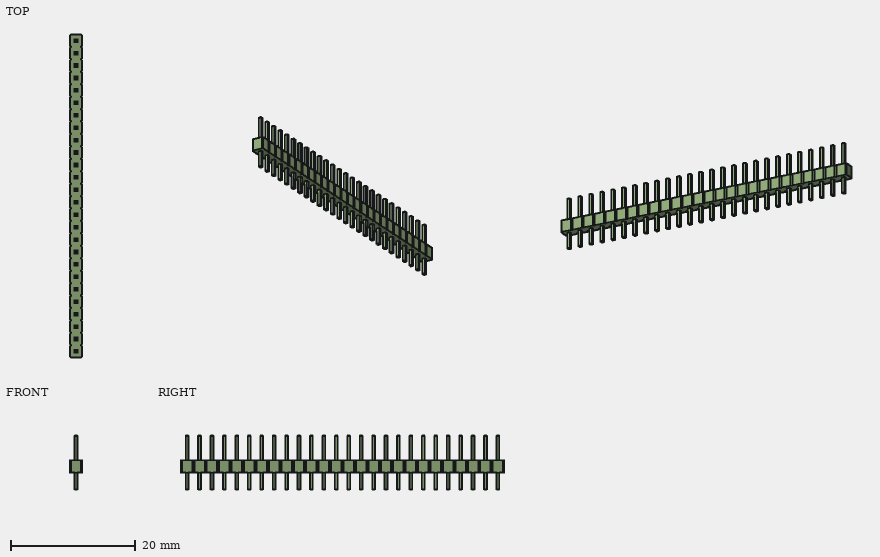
import cadquery as cq

length = 52.0
pin_count = 26
pitch = length / pin_count

cell_size = pitch
cell_chamfer = 0.2

pin_width = 0.5
tip_chamfer = 0.125
pin_length = 8.8
pin_above_housing = 4.0
pin_below_housing = pin_length - pin_above_housing - cell_size


def housing_cell():
    """One cell centred on the origin in plan, standing on Z = 0."""
    cell = cq.Workplane("XY").box(cell_size, pitch, cell_size, centered=(True, True, False))
    return cell.edges("|Z").chamfer(cell_chamfer)


def pin():
    """One pin on the Z axis, passing through the housing."""
    bar = cq.Workplane("XY").box(pin_width, pin_width, pin_length, centered=(True, True, False))
    bar = bar.faces("<Z or >Z").edges().chamfer(tip_chamfer)
    return bar.translate((0, 0, -pin_below_housing))


loaded_cell = housing_cell().union(pin())
first_position = -(length - pitch) / 2

result = loaded_cell.translate((0, first_position, 0))
for index in range(1, pin_count):
    result = result.union(loaded_cell.translate((0, first_position + index * pitch, 0)))
result = result.clean()